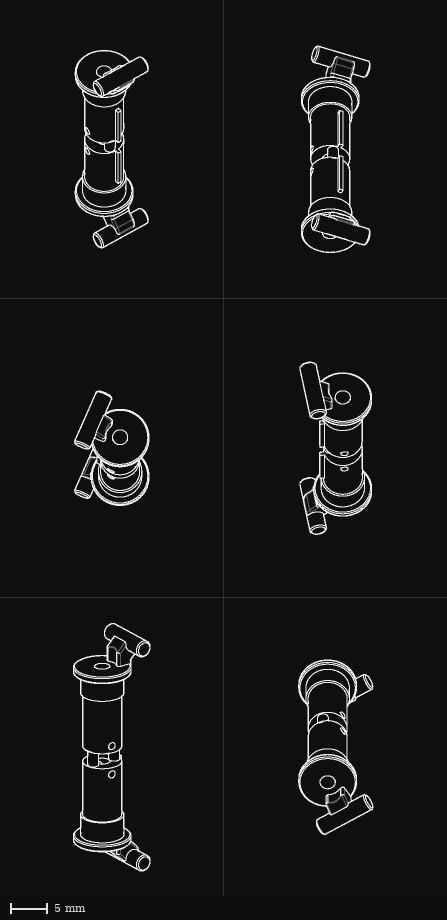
import cadquery as cq
import math

overall_length = 34.45
gap = 2.25

flange_diameter = 8.0
flange_thickness = 1.0
flange_chamfer = 0.17
collar_diameter = 6.0
collar_length = 3.0
sleeve_diameter = 5.4
sleeve_length = 8.0
bore_diameter = 2.1

rib_reach = 3.27
rib_width = 0.5
rib_length = 6.4

cross_hole_diameter = 1.05
cross_hole_inset = 1.0
cross_hole_angle = 5.5

rod_diameter = 1.5
rod_x = 1.8
rod_y = -0.35
rod_embed = 2.0

bar_diameter = 2.35
bar_length = 8.0
bar_chamfer = 0.2
bar_x = 4.15
bar_y = -0.17
lug_width = 3.0
lug_inner_x = 1.72
lug_outer_x = 5.25
lug_base_depth = 2.2
lug_base_height = 0.48
lug_inner_height = 2.03
lug_fillet = 0.293
lug_tip_radius = 1.25
lug_relief_radius = 2.0
lug_relief_fillet = 0.17

sleeve_end_z = gap / 2
collar_z = sleeve_end_z + sleeve_length
flange_z = collar_z + collar_length
flange_top_z = flange_z + flange_thickness
bar_radius = bar_diameter / 2
bar_z = overall_length / 2 - bar_radius


def cylinder(diameter, bottom_z, height):
    return cq.Workplane("XY", origin=(0, 0, bottom_z)).circle(diameter / 2).extrude(height)


def turned_body():
    flange = cylinder(flange_diameter, flange_z, flange_thickness).edges().chamfer(flange_chamfer)
    collar = cylinder(collar_diameter, collar_z, collar_length)
    sleeve = cylinder(sleeve_diameter, sleeve_end_z, sleeve_length)
    return sleeve.union(collar).union(flange)


def key_rib():
    start = cq.Workplane("XY", origin=(0, 0, sleeve_end_z))
    return start.box(rib_reach, rib_width, rib_length, centered=False)


def cross_hole():
    hole = (
        cq.Workplane("XZ")
        .center(0, sleeve_end_z + cross_hole_inset)
        .circle(cross_hole_diameter / 2)
        .extrude(sleeve_diameter, both=True)
    )
    return hole.rotate((0, 0, 0), (0, 0, 1), -cross_hole_angle)


def lug():
    lean_start_z = flange_top_z + lug_inner_height
    lean_run = bar_x - bar_radius * math.sqrt(0.5) - lug_inner_x

    base_outer_x = lug_inner_x + lug_base_depth
    base_top_z = flange_top_z + lug_base_height
    corner_z = base_top_z + lug_outer_x - base_outer_x
    half_turn = math.radians(45) / 2
    setback = lug_tip_radius * math.tan(half_turn)
    arc_start = (lug_outer_x - setback * math.sqrt(0.5), corner_z - setback * math.sqrt(0.5))
    arc_end = (lug_outer_x, corner_z + setback)
    arc_middle = (
        lug_outer_x - lug_tip_radius * (1 - math.cos(half_turn)),
        arc_end[1] - lug_tip_radius * math.sin(half_turn),
    )

    blank = (
        cq.Workplane("XZ", origin=(0, lug_width / 2, 0))
        .moveTo(lug_inner_x, flange_z)
        .lineTo(lug_inner_x, lean_start_z)
        .lineTo(lug_inner_x + lean_run, lean_start_z + lean_run)
        .lineTo(lug_outer_x, bar_z)
        .lineTo(*arc_end)
        .threePointArc(arc_middle, arc_start)
        .lineTo(base_outer_x, base_top_z)
        .lineTo(base_outer_x, flange_z)
        .close()
        .extrude(lug_width)
        .faces("|Y")
        .edges()
        .fillet(lug_fillet)
    )
    relief = cylinder(2 * lug_relief_radius, flange_z, overall_length)
    below_foot = cylinder(overall_length, 0, flange_top_z - flange_chamfer)
    shaped = blank.cut(below_foot).cut(relief)

    rim = cq.selectors.BoxSelector(
        (lug_inner_x, -lug_width / 4, lean_start_z), (lug_relief_radius, lug_width / 4, bar_z)
    )
    return shaped.edges(rim).fillet(lug_relief_fillet)


def handle_bar():
    return (
        cq.Workplane("XZ", origin=(bar_x, bar_y + bar_length / 2, bar_z))
        .circle(bar_radius)
        .extrude(bar_length)
        .edges()
        .chamfer(bar_chamfer)
    )


def plug():
    bore = cylinder(bore_diameter, 0, overall_length)
    return turned_body().union(key_rib()).union(lug()).union(handle_bar()).cut(bore).cut(cross_hole())


def rods():
    rod_length = gap + 2 * rod_embed
    return (
        cq.Workplane("XY", origin=(0, 0, -rod_length / 2))
        .pushPoints([(-rod_x, rod_y), (rod_x, rod_y)])
        .circle(rod_diameter / 2)
        .extrude(rod_length)
    )


upper_plug = plug()
lower_plug = upper_plug.mirror("XY")
result = upper_plug.union(rods()).union(lower_plug)